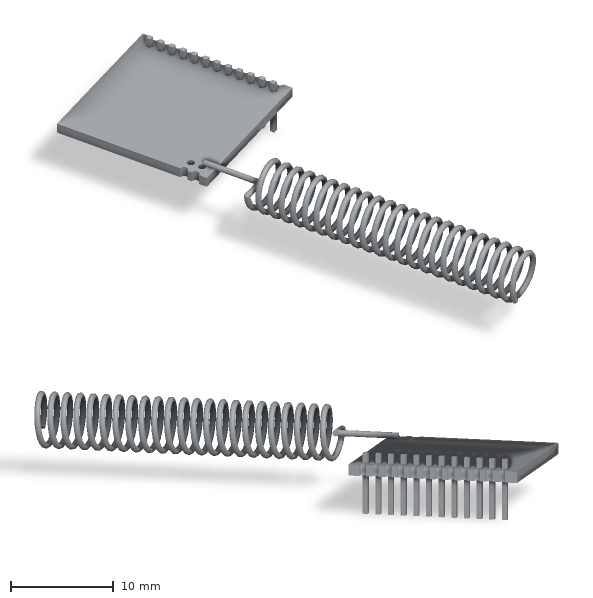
import cadquery as cq
import math

board_length = 16.9
board_width = 16.5
board_thickness = 1.1
hole_pitch = 1.27

pin_count = 12
pin_side = 0.5
pin_above_board = 1.0
pin_below_board = 3.9
pin_height = pin_below_board + board_thickness + pin_above_board
pin_row_start = 1.515
pin_row_y = board_width - hole_pitch
pin_hole_diameter = 0.7

antenna_hole_count = 2
antenna_hole_diameter = 0.8
antenna_hole_to_right_edge = 1.3
antenna_row_start = board_length - antenna_hole_to_right_edge - (antenna_hole_count - 1) * hole_pitch
antenna_row_y = 1.3

wire_diameter = 0.6
coil_outer_diameter = 5.6
coil_radius = (coil_outer_diameter - wire_diameter) / 2
coil_pitch = 1.303
coil_turns = 23.08
coil_axis_y = 1.63
coil_axis_z = board_thickness + wire_diameter / 2
lead_start_x = 15.7
spoke_x = 21.93


def hole_row(diameter, start_x, y, count):
    """Vertical through cutters, one hole pitch apart along X."""
    centres = [(start_x + i * hole_pitch, y) for i in range(count)]
    return cq.Workplane("XY").pushPoints(centres).circle(diameter / 2).extrude(board_thickness)


def make_board():
    body = cq.Workplane("XY").box(board_length, board_width, board_thickness, centered=False)
    for y in (pin_row_y, board_width):
        body = body.cut(hole_row(pin_hole_diameter, pin_row_start, y, pin_count))
    for y in (antenna_row_y, 0):
        body = body.cut(hole_row(antenna_hole_diameter, antenna_row_start, y, antenna_hole_count))
    for i in range(pin_count):
        pin = (
            cq.Workplane("XY", origin=(pin_row_start + i * hole_pitch, pin_row_y, -pin_below_board))
            .rect(pin_side, pin_side)
            .extrude(pin_height)
        )
        body = body.union(pin)
    return body


def make_coil():
    """Helix along +X that starts at the -Y side of its axis and turns down first."""
    path = cq.Wire.makeHelix(coil_pitch, coil_pitch * coil_turns, coil_radius)
    slope = coil_pitch / (2 * math.pi * coil_radius)
    start = cq.Plane(origin=(coil_radius, 0, 0), xDir=(-1, 0, 0), normal=(0, 1, slope))
    coil = cq.Workplane(start).circle(wire_diameter / 2).sweep(cq.Workplane(path), isFrenet=True)
    placement = cq.Plane(origin=(spoke_x, coil_axis_y, coil_axis_z), xDir=(0, -1, 0), normal=(1, 0, 0))
    return cq.Workplane(coil.val().moved(cq.Location(placement)))


def make_antenna():
    lead = (
        cq.Workplane("YZ", origin=(lead_start_x, coil_axis_y, coil_axis_z))
        .circle(wire_diameter / 2)
        .extrude(spoke_x - lead_start_x)
    )
    tip_centre = (spoke_x, coil_axis_y - coil_radius, coil_axis_z)
    tip = cq.Workplane("XY", origin=tip_centre).sphere(wire_diameter / 2)
    spoke = (
        cq.Workplane("XZ", origin=(spoke_x, coil_axis_y + wire_diameter / 2, coil_axis_z))
        .circle(wire_diameter / 2)
        .extrude(coil_radius + wire_diameter / 2)
    )
    return make_coil().union(spoke.union(lead).union(tip))


board = make_board()
antenna = make_antenna()

result = cq.Compound.makeCompound([*board.solids().vals(), *antenna.solids().vals()])